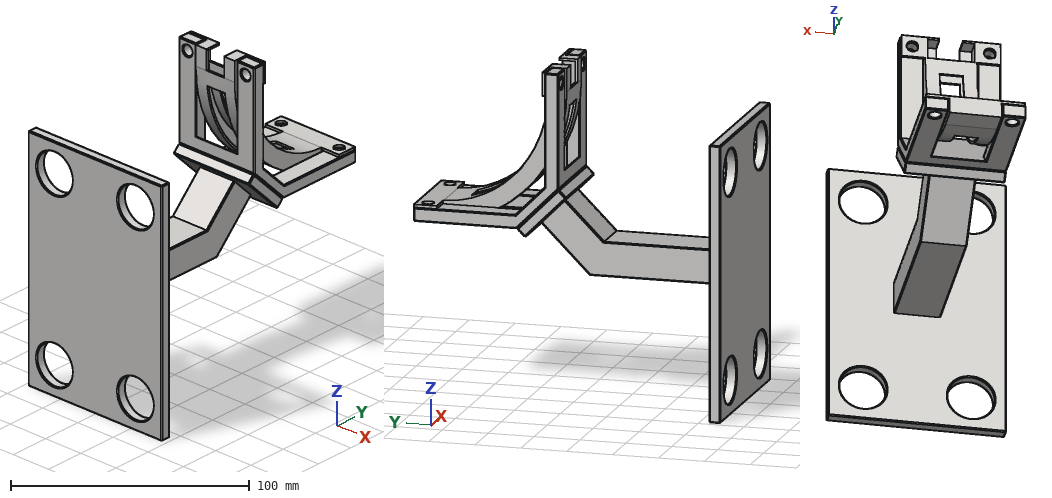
import cadquery as cq
import math


CHAMFER = 0.5

TOLERANCE = 0.001

PLATE_WIDTH = 76.0
PLATE_HEIGHT = 120.0
PLATE_THICKNESS = 5.0
MOUNT_HOLE_DIAMETER = 20.0
MOUNT_HOLE_SPACING_X = 46.0
MOUNT_HOLE_SPACING_Z = 90.0

TOTAL_DEPTH = 138.51
TOTAL_HEIGHT = 141.62

FRAME_WIDTH = 43.0
UPRIGHT_LEG_LENGTH = 50.0
LEVEL_LEG_LENGTH = 45.0
LEG_THICKNESS = 6.0
BAR_LENGTH = 25.64
BAR_THICKNESS = 4.7
WINDOW_WIDTH = 23.0
SCREW_HOLE_DIAMETER = 5.0
SCREW_HOLE_END_DISTANCE = 5.0

bar_leg = BAR_LENGTH / math.sqrt(2)
leg_back_y = TOTAL_DEPTH - LEVEL_LEG_LENGTH - bar_leg
leg_bottom_z = TOTAL_HEIGHT - UPRIGHT_LEG_LENGTH - bar_leg
leg_front_y = leg_back_y + LEG_THICKNESS
leg_top_z = leg_bottom_z + LEG_THICKNESS
bar_face_sum = leg_back_y + leg_bottom_z + bar_leg + BAR_THICKNESS * math.sqrt(2)
screw_hole_x = (FRAME_WIDTH + WINDOW_WIDTH) / 4

PAD_THICKNESS = 5.0
bar_center_y = leg_back_y + bar_leg / 2
bar_center_z = leg_bottom_z + bar_leg / 2

ARM_WIDTH = 20.0
ARM_DEPTH = 15.0
arm_z = PLATE_HEIGHT / 2
bend_y = bar_center_y - (bar_center_z - arm_z)
miter_shift = ARM_DEPTH / 2 * math.tan(math.radians(22.5))
pad_inset = PAD_THICKNESS / math.sqrt(2)
arm_end_y = bar_center_y - pad_inset
arm_end_z = bar_center_z - pad_inset
arm_end_half = ARM_DEPTH / 2 / math.sqrt(2)

GUIDE_WIDTH = 22.0
GUIDE_WALL = 1.0
FLANGE_THICKNESS = 1.25
GUIDE_PROUD = 0.75
GUIDE_END_LENGTH = 10.0
SLOT_WIDTH = 10.0
SLOT_TOP_DISTANCE = 17.4
SLOT_FRONT_DISTANCE = 20.6

guide_depth = FLANGE_THICKNESS + LEG_THICKNESS + GUIDE_PROUD
guide_inner_y = leg_front_y + FLANGE_THICKNESS
guide_inner_z = leg_top_z + FLANGE_THICKNESS
curve_center_y = TOTAL_DEPTH - GUIDE_END_LENGTH
curve_center_z = TOTAL_HEIGHT - GUIDE_END_LENGTH
flange_width = FRAME_WIDTH - 2 * CHAMFER
cavity_width = GUIDE_WIDTH - 2 * GUIDE_WALL


def block(width, y_range, z_range):
    """Box centred on X = 0 between the given Y and Z limits."""
    y_min, y_max = y_range
    z_min, z_max = z_range
    return (
        cq.Workplane("XY")
        .box(width, y_max - y_min, z_max - z_min, centered=(True, False, False))
        .translate((0, y_min, z_min))
    )


def side_prism(points, width):
    """Prism centred on X = 0 with the given Y-Z outline."""
    return cq.Workplane("YZ").polyline(points).close().extrude(width / 2, both=True)


def make_plate():
    plate = block(PLATE_WIDTH, (0, PLATE_THICKNESS), (0, PLATE_HEIGHT))
    holes = (
        cq.Workplane("XZ", origin=(0, PLATE_THICKNESS, arm_z))
        .rarray(MOUNT_HOLE_SPACING_X, MOUNT_HOLE_SPACING_Z, 2, 2)
        .circle(MOUNT_HOLE_DIAMETER / 2)
        .extrude(PLATE_THICKNESS)
    )
    return plate.cut(holes).edges().chamfer(CHAMFER)


def is_arm_end(edge):
    """True for an edge in the arm's 45 degree end face."""
    end_sum = arm_end_y + arm_end_z
    return all(math.isclose(vertex.Y + vertex.Z, end_sum, abs_tol=TOLERANCE) for vertex in edge.Vertices())


def make_arm():
    half = ARM_DEPTH / 2
    outline = [
        (PLATE_THICKNESS, arm_z - half),
        (bend_y + miter_shift, arm_z - half),
        (arm_end_y + arm_end_half, arm_end_z - arm_end_half),
        (arm_end_y - arm_end_half, arm_end_z + arm_end_half),
        (bend_y - miter_shift, arm_z + half),
        (PLATE_THICKNESS, arm_z + half),
    ]
    arm = side_prism(outline, ARM_WIDTH)
    long_edges = arm.faces("|X").edges("not |Z").vals()
    return arm.newObject([edge for edge in long_edges if not is_arm_end(edge)]).chamfer(CHAMFER)


def make_pad():
    outline = [
        (leg_back_y, leg_bottom_z + bar_leg),
        (leg_back_y + bar_leg, leg_bottom_z),
        (leg_back_y + bar_leg - pad_inset, leg_bottom_z - pad_inset),
        (leg_back_y - pad_inset, leg_bottom_z + bar_leg - pad_inset),
    ]
    return side_prism(outline, FRAME_WIDTH).edges().chamfer(CHAMFER)


def screw_holes():
    """Drills through both leg ends and the flanges that lie on them."""
    upright_holes = (
        cq.Workplane("XZ", origin=(0, leg_back_y, TOTAL_HEIGHT - SCREW_HOLE_END_DISTANCE))
        .pushPoints([(-screw_hole_x, 0), (screw_hole_x, 0)])
        .circle(SCREW_HOLE_DIAMETER / 2)
        .extrude(-guide_depth)
    )
    level_holes = (
        cq.Workplane("XY", origin=(0, TOTAL_DEPTH - SCREW_HOLE_END_DISTANCE, leg_bottom_z))
        .pushPoints([(-screw_hole_x, 0), (screw_hole_x, 0)])
        .circle(SCREW_HOLE_DIAMETER / 2)
        .extrude(guide_depth)
    )
    return upright_holes.union(level_holes)


def is_concave_frame_edge(edge):
    """True for the edges where leg faces and window walls rise from the bar's inner plane."""
    in_bar_plane = all(
        math.isclose(vertex.Y + vertex.Z, bar_face_sum, abs_tol=TOLERANCE) for vertex in edge.Vertices()
    )
    middle_x = abs(edge.Center().x)
    return in_bar_plane and WINDOW_WIDTH / 2 - TOLERANCE < middle_x < FRAME_WIDTH / 2 - TOLERANCE


def make_frame():
    outline = [
        (leg_back_y, TOTAL_HEIGHT),
        (leg_back_y, leg_bottom_z + bar_leg),
        (leg_back_y + bar_leg, leg_bottom_z),
        (TOTAL_DEPTH, leg_bottom_z),
        (TOTAL_DEPTH, leg_top_z),
        (bar_face_sum - leg_top_z, leg_top_z),
        (leg_front_y, bar_face_sum - leg_front_y),
        (leg_front_y, TOTAL_HEIGHT),
    ]
    frame = side_prism(outline, FRAME_WIDTH)
    window = side_prism(
        [
            (leg_back_y, TOTAL_HEIGHT),
            (leg_back_y, bar_face_sum - leg_back_y),
            (bar_face_sum - leg_bottom_z, leg_bottom_z),
            (TOTAL_DEPTH, leg_bottom_z),
            (TOTAL_DEPTH, TOTAL_HEIGHT),
        ],
        WINDOW_WIDTH,
    )
    frame = frame.cut(window).cut(screw_holes())
    broken_edges = [edge for edge in frame.edges().vals() if not is_concave_frame_edge(edge)]
    return frame.newObject(broken_edges).chamfer(CHAMFER)


def curved_band(width, inset):
    """Level end, elliptical quarter and upright end, with every face but the sides moved in by inset."""
    y_inner = guide_inner_y - inset
    z_inner = guide_inner_z - inset
    y_outer = guide_inner_y - guide_depth + inset
    z_outer = guide_inner_z - guide_depth + inset

    def quarter(y_limit, z_limit):
        """Quarter of an elliptical disc that reaches down to the given Y and Z."""
        center = cq.Workplane("YZ", origin=(-width / 2, curve_center_y, curve_center_z))
        disc = center.ellipse(curve_center_y - y_limit, curve_center_z - z_limit).extrude(width)
        return disc.intersect(block(width, (y_limit, curve_center_y), (z_limit, curve_center_z)))

    curve = quarter(y_outer, z_outer).cut(quarter(y_inner, z_inner))
    upright_end = block(width, (y_outer, y_inner), (curve_center_z, TOTAL_HEIGHT - inset))
    level_end = block(width, (curve_center_y, TOTAL_DEPTH - inset), (z_outer, z_inner))
    return curve.union(upright_end).union(level_end)


def make_guide():
    upright_flange = block(flange_width, (leg_front_y, guide_inner_y), (curve_center_z, TOTAL_HEIGHT))
    level_flange = block(flange_width, (curve_center_y, TOTAL_DEPTH), (leg_top_z, guide_inner_z))
    guide = curved_band(GUIDE_WIDTH, 0).union(upright_flange).union(level_flange)
    guide = guide.cut(curved_band(cavity_width, GUIDE_WALL))

    guide_back_y = guide_inner_y - guide_depth
    guide_bottom_z = guide_inner_z - guide_depth
    end_notch = block(SLOT_WIDTH, (guide_back_y, guide_inner_y), (curve_center_z, TOTAL_HEIGHT))
    end_opening = block(
        cavity_width,
        (guide_inner_y - GUIDE_WALL, guide_inner_y),
        (curve_center_z, TOTAL_HEIGHT - GUIDE_WALL),
    )
    slot = block(
        SLOT_WIDTH,
        (guide_back_y, TOTAL_DEPTH - SLOT_FRONT_DISTANCE),
        (guide_bottom_z, TOTAL_HEIGHT - SLOT_TOP_DISTANCE),
    )
    return guide.cut(end_notch).cut(end_opening).cut(slot).cut(screw_holes())


plate = make_plate()
arm = make_arm()
pad = make_pad()
frame = make_frame()
guide = make_guide()

result = cq.Compound.makeCompound(
    [
        *plate.solids().vals(),
        *arm.solids().vals(),
        *pad.solids().vals(),
        *frame.solids().vals(),
        *guide.solids().vals(),
    ]
)